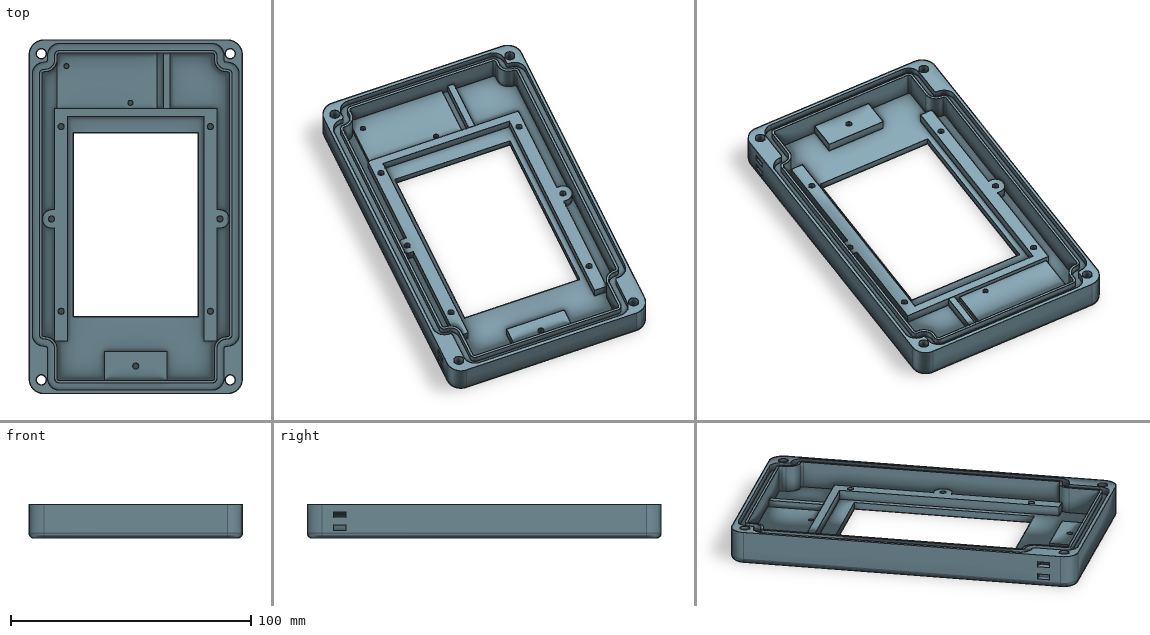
import cadquery as cq

WIDTH = 88.8
LENGTH = 147.3
HEIGHT = 14.0
CORNER_RADIUS = 6.2
BOTTOM_ROUND = 2.0
FLOOR = 3.0

RIM_X = 1.3
RIM_Y = 1.5
GROOVE_WIDTH = 3.0
GROOVE_DEPTH = 3.0
LIP_WIDTH = 1.0
RIM_CONVEX_RADIUS = 5.0
RIM_CONCAVE_RADIUS = 1.0
TOLERANCE = 0.01

BLOCK_WIDTH = 7.7
BACK_BLOCK_LENGTH = 9.3
FRONT_BLOCK_LENGTH = 19.7

SCREW_DIAMETER = 4.1
SCREW_X = 39.3
SCREW_Y = 67.9

WINDOW_HALF_WIDTH = 26.0
WINDOW_BACK_Y = 34.9
WINDOW_FRONT_Y = -41.5
RAISED_HEIGHT = 4.0
FRAME_HALF_WIDTH = 33.9
FRAME_INNER_HALF_WIDTH = 28.5
FRAME_BACK_Y = 45.1
FRAME_INNER_BACK_Y = 41.7
FRAME_FRONT_Y = -51.7

PILOT_DIAMETER = 2.5
PILOT_DEPTH = RAISED_HEIGHT
PILOT_X = 31.1
PILOT_SPACING_Y = 76.9
LUG_X = 35.0
LUG_Y = -0.9
LUG_DIAMETER = 7.7

PLATFORM_LEFT_X = -32.9
PLATFORM_RIGHT_X = 8.8
PLATFORM_HEIGHT = 2.0
PLATFORM_HOLE_DIAMETER = 2.0
PLATFORM_HOLES = [(-28.9, 62.8), (-2.2, 47.5)]
RIB_LEFT_X = 11.5
RIB_RIGHT_X = 14.3
RIB_HEIGHT = 3.8

PAD_HALF_WIDTH = 13.0
PAD_BACK_Y = -56.1
PAD_HOLE_Y = -62.2

STRAP_OUTER_DIAMETER = 7.7
STRAP_THICKNESS = 2.2
STRAP_WIDTH = 5.2
STRAP_STRAIGHT_DEPTH = 3.0
STRAP_Y = -60.1
STRAP_Z = 7.0


def box_between(x0, x1, y0, y1, z0, z1):
    """Box given by its limits along each axis."""
    box = cq.Workplane("XY").box(x1 - x0, y1 - y0, z1 - z0, centered=False)
    return box.translate((x0, y0, z0))


def notched_prism(inset, bottom, top):
    """Prism inside the corner blocks, drawn in from the rim edge by the inset."""
    half_x = WIDTH / 2 - RIM_X - inset
    half_y = LENGTH / 2 - RIM_Y - inset
    narrow_x = WIDTH / 2 - BLOCK_WIDTH - inset
    back_y = LENGTH / 2 - BACK_BLOCK_LENGTH - inset
    front_y = -LENGTH / 2 + FRONT_BLOCK_LENGTH + inset
    wide = box_between(-half_x, half_x, front_y, back_y, bottom, top)
    narrow = box_between(-narrow_x, narrow_x, -half_y, half_y, bottom, top)
    prism = wide.union(narrow)

    def is_convex(edge):
        """True for outward corners, which touch the outermost limits in X or Y."""
        center = edge.Center()
        return abs(center.x) > half_x - TOLERANCE or abs(center.y) > half_y - TOLERANCE

    prism = prism.edges("|Z").filter(lambda e: not is_convex(e)).fillet(RIM_CONCAVE_RADIUS + inset)
    return prism.edges("|Z").filter(is_convex).fillet(RIM_CONVEX_RADIUS - inset)


def holes(points, diameter, top, depth):
    """Vertical round cutters reaching down from the given height."""
    plane = cq.Workplane("XY").workplane(offset=top - depth)
    return plane.pushPoints(points).circle(diameter / 2).extrude(depth)


def strap_channel():
    """U-shaped channel on both sides of X = 0, as the gap between two long slots."""
    inner_diameter = STRAP_OUTER_DIAMETER - 2 * STRAP_THICKNESS
    straight_length = 2 * STRAP_STRAIGHT_DEPTH
    return (
        cq.Workplane("XZ")
        .slot2D(straight_length + STRAP_OUTER_DIAMETER, STRAP_OUTER_DIAMETER)
        .slot2D(straight_length + inner_diameter, inner_diameter)
        .extrude(STRAP_WIDTH / 2, both=True)
    )


shell = cq.Workplane("XY").box(WIDTH, LENGTH, HEIGHT, centered=(True, True, False))
shell = shell.edges("|Z").fillet(CORNER_RADIUS).faces("<Z").edges().fillet(BOTTOM_ROUND)

cavity = notched_prism(GROOVE_WIDTH + LIP_WIDTH, FLOOR, HEIGHT)
groove_bottom = HEIGHT - GROOVE_DEPTH
groove = notched_prism(0, groove_bottom, HEIGHT).cut(notched_prism(GROOVE_WIDTH, groove_bottom, HEIGHT))
part = shell.cut(cavity).cut(groove)

raised_top = FLOOR + RAISED_HEIGHT
frame = box_between(-FRAME_HALF_WIDTH, FRAME_HALF_WIDTH, FRAME_FRONT_Y, FRAME_BACK_Y, FLOOR, raised_top)
lugs = (
    cq.Workplane("XY")
    .workplane(offset=FLOOR)
    .center(0, LUG_Y)
    .slot2D(2 * LUG_X + LUG_DIAMETER, LUG_DIAMETER)
    .extrude(RAISED_HEIGHT)
)
inner_x = FRAME_INNER_HALF_WIDTH
frame_opening = box_between(-inner_x, inner_x, FRAME_FRONT_Y, FRAME_INNER_BACK_Y, FLOOR, raised_top)
frame = frame.union(lugs).cut(frame_opening)

wall_y = LENGTH / 2 - RIM_Y - GROOVE_WIDTH / 2
platform_top = FLOOR + PLATFORM_HEIGHT
platform = box_between(PLATFORM_LEFT_X, PLATFORM_RIGHT_X, FRAME_BACK_Y, wall_y, FLOOR, platform_top)
platform = platform.cut(holes(PLATFORM_HOLES, PLATFORM_HOLE_DIAMETER, platform_top, PLATFORM_HEIGHT))
rib = box_between(RIB_LEFT_X, RIB_RIGHT_X, FRAME_BACK_Y, wall_y, FLOOR, FLOOR + RIB_HEIGHT)
pad = box_between(-PAD_HALF_WIDTH, PAD_HALF_WIDTH, -wall_y, PAD_BACK_Y, FLOOR, raised_top)
part = part.union(frame).union(platform).union(rib).union(pad)

window_x = WINDOW_HALF_WIDTH
part = part.cut(box_between(-window_x, window_x, WINDOW_FRONT_Y, WINDOW_BACK_Y, 0, FLOOR))

pilot_points = [(-LUG_X, LUG_Y), (LUG_X, LUG_Y), (0, PAD_HOLE_Y)]
for x in (-PILOT_X, PILOT_X):
    for y in (LUG_Y - PILOT_SPACING_Y / 2, LUG_Y + PILOT_SPACING_Y / 2):
        pilot_points.append((x, y))
part = part.cut(holes(pilot_points, PILOT_DIAMETER, raised_top, PILOT_DEPTH))

screw_points = [(x, y) for x in (-SCREW_X, SCREW_X) for y in (-SCREW_Y, SCREW_Y)]
part = part.cut(holes(screw_points, SCREW_DIAMETER, HEIGHT, HEIGHT))

for x in (-WIDTH / 2, WIDTH / 2):
    part = part.cut(strap_channel().translate((x, STRAP_Y, STRAP_Z)))

result = part